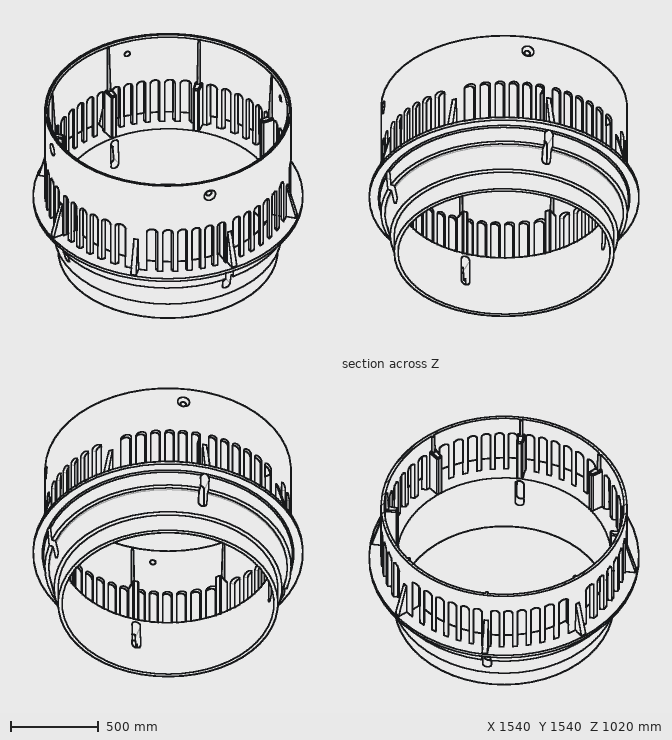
import cadquery as cq

height = 1020.0

diagonal_count = 4
diagonal_angle = 45.0

spigot_radius = 627.5
spigot_top_z = 116.0
cone_bottom_z = 121.0
cone_bottom_radius = 650.0
cone_top_radius = 678.0
cone_top_z = 267.0
neck_radius = 681.0
neck_top_z = 276.0
collar_bottom_radius = 703.0
collar_top_radius = 710.0
collar_bottom_z = 279.0
collar_top_z = 371.0
collar_foot_radius = 718.0

bore_bottom_radius = 605.0
bore_top_radius = 612.0

flange_radius = 1540.0 / 2
flange_thickness = 20.0
flange_top_z = 400.0
flange_bottom_z = flange_top_z - flange_thickness

basket_radius = 1405.0 / 2
basket_inner_radius = 1365.0 / 2
basket_thickness = basket_radius - basket_inner_radius
basket_mid_radius = (basket_radius + basket_inner_radius) / 2
rim_chamfer = 10.0

slot_width = 50.0
slot_pitch = 75.0
slots_each_side = 6
first_slot_offset = 50.0
slot_top_z = 700.0

drain_width = 50.0
drain_bottom_z = 181.0
drain_top_z = 380.0

hole_z = 920.0
hole_outer_diameter = 70.0
hole_inner_diameter = 32.0
hole_count = 4
hole_angle = 35.0
countersink_overrun = 5.0

rib_count = 8
gusset_base_radius = 761.0
gusset_base_width = 31.0
gusset_top_width = 24.0
gusset_top_z = 615.0
gusset_top_ledge = 1.0

rib_top_z = slot_top_z
rib_tip_radius = 613.0
rib_tip_width = 34.0
rib_wall_width = 46.0
rib_edge_chamfer = 7.0

strip_width = 15.0
strip_depth = 18.0
strip_edge_fillet = 4.0
strip_top_z = height - rim_chamfer


def revolved_body():
    """Lower body, flange and basket wall as one turned profile."""
    profile = [
        (bore_bottom_radius, 0),
        (spigot_radius, 0),
        (spigot_radius, spigot_top_z),
        (cone_bottom_radius, cone_bottom_z),
        (cone_top_radius, cone_top_z),
        (neck_radius, neck_top_z),
        (collar_bottom_radius, collar_bottom_z),
        (collar_top_radius, collar_top_z),
        (collar_foot_radius, flange_bottom_z),
        (flange_radius, flange_bottom_z),
        (flange_radius, flange_top_z),
        (basket_radius, flange_top_z),
        (basket_radius, height),
        (basket_radius - rim_chamfer, height),
        (basket_inner_radius, height - rim_chamfer),
        (basket_inner_radius, flange_top_z),
        (bore_top_radius, flange_top_z),
    ]
    turned = cq.Workplane("XZ").polyline(profile).close().revolve(360, (0, 0), (0, 1))
    return turned.rotate((0, 0, 0), (0, 0, 1), diagonal_angle)


def around(shape, count, start_angle=0.0):
    """Copies of a shape spaced evenly about the Z axis, as one compound."""
    copies = [shape.val().rotate((0, 0, 0), (0, 0, 1), start_angle + 360 / count * i) for i in range(count)]
    return cq.Workplane(cq.Compound.makeCompound(copies))


def drain_slot():
    """Upright, fully rounded slot along +X through the lower body."""
    middle_z = (drain_bottom_z + drain_top_z) / 2
    return (
        cq.Workplane("YZ", origin=(0, 0, middle_z))
        .slot2D(drain_top_z - drain_bottom_z, drain_width, 90)
        .extrude(flange_radius)
    )


def basket_slots():
    """Round-topped slots of one quadrant about +X, standing on the flange."""
    spring_z = slot_top_z - slot_width / 2
    bars = []
    for i in range(slots_each_side):
        offset = first_slot_offset + slot_pitch * i
        for side in (-1, 1):
            left = side * offset - slot_width / 2
            bar = (
                cq.Workplane("YZ")
                .moveTo(left, flange_top_z)
                .lineTo(left, spring_z)
                .threePointArc((left + slot_width / 2, slot_top_z), (left + slot_width, spring_z))
                .lineTo(left + slot_width, flange_top_z)
                .close()
                .extrude(flange_radius)
            )
            bars.append(bar.val())
    return cq.Workplane(cq.Compound.makeCompound(bars))


def countersink():
    """Cone through the basket wall along +X, widest at the outer surface."""
    slope = (hole_outer_diameter - hole_inner_diameter) / 2 / basket_thickness
    inner = hole_inner_diameter / 2 - slope * countersink_overrun
    outer = hole_outer_diameter / 2 + slope * countersink_overrun
    cone = cq.Solid.makeCone(
        inner,
        outer,
        basket_thickness + 2 * countersink_overrun,
        cq.Vector(basket_inner_radius - countersink_overrun, 0, hole_z),
        cq.Vector(1, 0, 0),
    )
    return cq.Workplane(cone)


def radial_outline(inner, outer):
    """Plan trapezoid centred on +X between two (radius, width) ends."""
    (inner_radius, inner_width), (outer_radius, outer_width) = inner, outer
    return [
        (inner_radius, -inner_width / 2),
        (outer_radius, -outer_width / 2),
        (outer_radius, outer_width / 2),
        (inner_radius, inner_width / 2),
    ]


def gusset():
    """Triangular, drafted gusset from the flange to the outside of the basket."""
    top_radius = basket_radius + gusset_top_ledge
    base = radial_outline((basket_mid_radius, gusset_base_width), (gusset_base_radius, gusset_base_width))
    top = radial_outline((basket_mid_radius, gusset_top_width), (top_radius, gusset_top_width))
    return (
        cq.Workplane("XY", origin=(0, 0, flange_top_z))
        .polyline(base)
        .close()
        .workplane(offset=gusset_top_z - flange_top_z)
        .polyline(top)
        .close()
        .loft(ruled=True)
    )


def inner_rib():
    """Rib standing on the flange inside the basket, narrowing to a chamfered tip."""
    plan = radial_outline((rib_tip_radius, rib_tip_width), (basket_mid_radius, rib_wall_width))
    rib = (
        cq.Workplane("XY", origin=(0, 0, flange_top_z))
        .polyline(plan)
        .close()
        .extrude(rib_top_z - flange_top_z)
    )
    tip_corners = rib.faces("<X").edges("|Z").vals()
    top_edges = rib.faces(">Z").edges("not >X").vals()
    return rib.newObject(tip_corners + top_edges).chamfer(rib_edge_chamfer)


def guide_strip():
    """Strip on the basket wall that fades out towards the rim."""
    foot_radius = basket_inner_radius - strip_depth
    return (
        cq.Workplane("XZ")
        .polyline(
            [
                (basket_mid_radius, rib_top_z),
                (foot_radius, rib_top_z),
                (basket_inner_radius, strip_top_z),
                (basket_mid_radius, strip_top_z),
            ]
        )
        .close()
        .extrude(strip_width / 2, both=True)
        .faces("<X")
        .edges("not |Y")
        .fillet(strip_edge_fillet)
    )


body = revolved_body()
body = body.cut(around(basket_slots(), diagonal_count, diagonal_angle))
body = body.cut(around(drain_slot(), diagonal_count, diagonal_angle))
body = body.cut(around(countersink(), hole_count, hole_angle))
for stiffener in (gusset(), inner_rib(), guide_strip()):
    body = body.union(around(stiffener, rib_count))

result = body